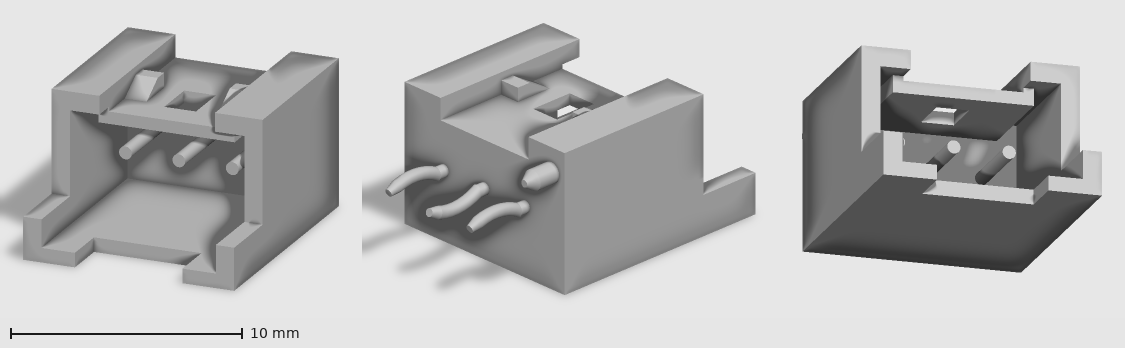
import cadquery as cq
import math

width = 9.9
overall_length = 14.9
height = 6.8
tail_length = 3.4
housing_length = overall_length - tail_length
wall = 0.86
floor = 0.67
rear_wall = 2.07
cavity_back = housing_length - rear_wall
cavity_width = width - 2 * wall
cavity_top = height - wall

mouth_setback = 3.13
mouth_step_height = 1.98
floor_notch_width = 5.04
floor_notch_depth = 2.1

channel_width = 5.42
channel_floor = 5.72
panel_width = 6.38
panel_bottom = 5.15
panel_front = 4.17
window_width = 1.49
window_front = 5.65
window_back = 7.85
latch_width = 1.03
latch_height = 0.69
latch_front = 5.93
latch_crest = 7.15

pin_pitch = 2.5
pin_diameter = 0.6
pin_height = 3.4
pin_tip = 5.51
shank_length = 0.48
bow_rise = 0.36
bow_half_span = 1.42
bow_past_crest = 0.95
tip_diameter = 0.39

peg_diameter = 1.0
peg_tip_diameter = 0.36
peg_inset = 0.83
peg_height = 5.59
peg_straight = 1.12
peg_length = 1.62


def block(x_size, y_start, y_end, z_start, z_end, x_center=0):
    """Box centred on x_center, given by its limits in Y and Z."""
    return (
        cq.Workplane("XY")
        .box(x_size, y_end - y_start, z_end - z_start, centered=(True, False, False))
        .translate((x_center, y_start, z_start))
    )


def make_shell():
    shell = block(width, 0, housing_length, 0, height)
    shell = shell.cut(block(cavity_width, 0, cavity_back, floor, cavity_top))
    shell = shell.cut(block(width, 0, mouth_setback, mouth_step_height, height))
    shell = shell.cut(block(floor_notch_width, 0, floor_notch_depth, 0, floor))
    shell = shell.union(block(panel_width, panel_front, cavity_back, panel_bottom, cavity_top))
    shell = shell.cut(block(channel_width, 0, housing_length, channel_floor, height))
    return shell.cut(block(window_width, window_front, window_back, panel_bottom, height))


def make_latch(side):
    """Ramp against one channel wall; side is -1 or 1."""
    crest_height = channel_floor + latch_height
    inner_x = side * channel_width / 2 - latch_width * (1 + side) / 2
    return (
        cq.Workplane("YZ", origin=(inner_x, 0, 0))
        .moveTo(latch_front, channel_floor)
        .lineTo(latch_crest, crest_height)
        .lineTo(window_back, crest_height)
        .lineTo(window_back, channel_floor)
        .close()
        .extrude(latch_width)
    )


def make_bent_tail(x, side):
    """Bowed tail with a tapered tip; side is 1 for a bow upward, -1 for downward."""
    radius = (bow_half_span**2 + bow_rise**2) / (2 * bow_rise)
    shank_end = housing_length + shank_length
    crest_y = shank_end + bow_half_span
    joint_angle = math.asin(bow_past_crest / radius)

    def arc_point(angle):
        y = crest_y + radius * math.sin(angle)
        z = pin_height + side * (bow_rise - radius + radius * math.cos(angle))
        return cq.Vector(x, y, z)

    def arc_direction(angle):
        return cq.Vector(0, math.cos(angle), -side * math.sin(angle))

    start_angle = -math.asin(bow_half_span / radius) - pin_diameter / 2 / radius
    path = cq.Workplane(
        cq.Edge.makeThreePointArc(arc_point(start_angle), arc_point(0), arc_point(joint_angle))
    )
    section = cq.Plane(arc_point(start_angle), xDir=(1, 0, 0), normal=arc_direction(start_angle))
    bow = cq.Workplane(section).circle(pin_diameter / 2).sweep(path)
    bow = bow.intersect(block(width, shank_end, overall_length, 0, height, x))

    tip_rim_reach = tip_diameter / 2 * math.sin(joint_angle)
    tip_length = (overall_length - tip_rim_reach - crest_y - bow_past_crest) / math.cos(joint_angle)
    tip = cq.Solid.makeCone(
        pin_diameter / 2, tip_diameter / 2, tip_length, arc_point(joint_angle), arc_direction(joint_angle)
    )
    return bow.union(cq.Workplane(tip))


def make_pin(x, side):
    shank_end = housing_length + shank_length
    straight = (
        cq.Workplane("XZ", origin=(x, pin_tip, pin_height))
        .circle(pin_diameter / 2)
        .extrude(pin_tip - shank_end)
    )
    return straight.union(make_bent_tail(x, side))


def make_peg():
    return (
        cq.Workplane("XY")
        .lineTo(peg_diameter / 2, 0)
        .lineTo(peg_diameter / 2, peg_straight)
        .lineTo(peg_tip_diameter / 2, peg_length)
        .lineTo(0, peg_length)
        .close()
        .revolve(360, (0, 0, 0), (0, 1, 0))
        .translate((peg_inset - width / 2, housing_length, peg_height))
    )


result = make_shell().union(make_peg())
for latch_side in (-1, 1):
    result = result.union(make_latch(latch_side))
for pin_index, bow_side in ((-1, 1), (0, -1), (1, 1)):
    result = result.union(make_pin(pin_index * pin_pitch, bow_side))